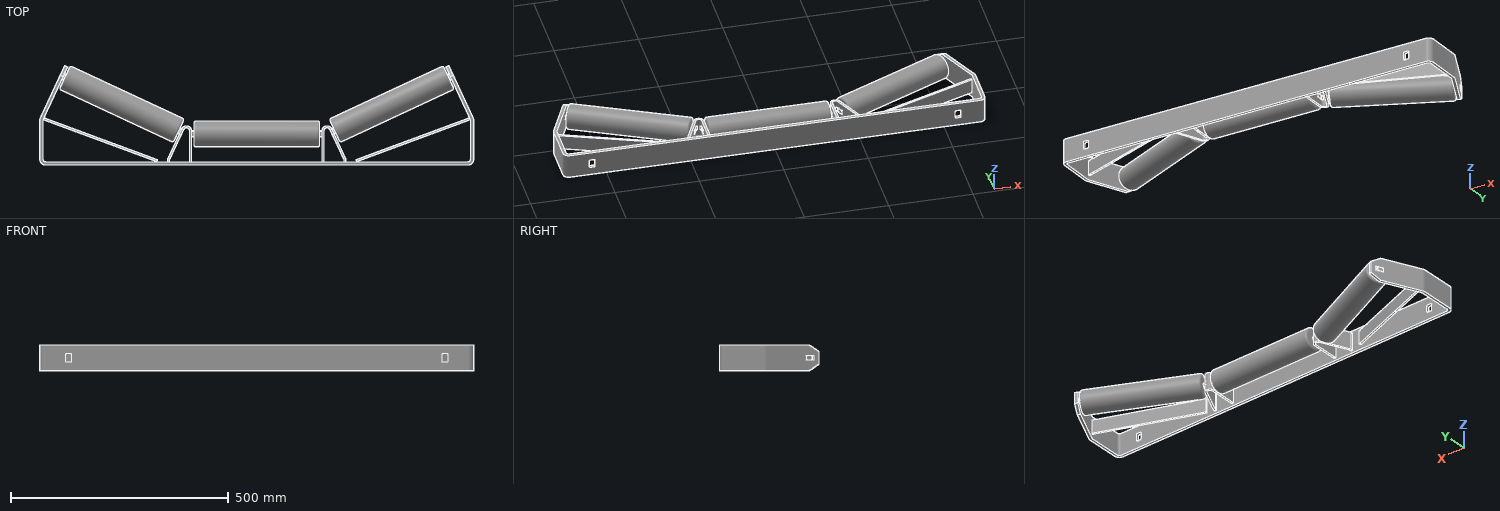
import cadquery as cq
import math


TILT = 25.0
FRAME_WIDTH = 1000.0
FRAME_DEPTH = 229.72
FRAME_HEIGHT = 60.0
FRAME_THICKNESS = 8.0
FRAME_BEND_OUTER_RADIUS = 14.0
KINK_Y = 106.5
TIP_HEIGHT = 30.0
TIP_TAPER_LENGTH = 25.0

MOUNT_SLOT_X = 433.5
MOUNT_SLOT_WIDTH = 14.0
MOUNT_SLOT_HEIGHT = 20.0
MOUNT_SLOT_CORNER_RADIUS = 3.0

BRACKET_THICKNESS = 5.0
BRACKET_HEIGHT = 46.0
BRACKET_BEND_OUTER_RADIUS = 12.0
BRACKET_SPAN = 300.0
BRACKET_FOOT_X = 205.5
BRACKET_FOOT_HEIGHT = 6.0

ROLLER_DIAMETER = 60.0
ROLLER_LENGTH = 290.0
ROLLER_EDGE_RADIUS = 5.0
CENTRE_AXIS_Y = 72.0
SIDE_AXIS_FROM_TIP = 25.0
AXLE_DIAMETER = 15.0
AXLE_FLATS = 10.0
AXLE_SLOT_LENGTH = 20.0

BRACE_THICKNESS = 5.0
BRACE_HEIGHT = 36.0
BRACE_FOOT_X = 230.0

HALF_WIDTH = FRAME_WIDTH / 2
TILT_SIN = math.sin(math.radians(TILT))
TILT_COS = math.cos(math.radians(TILT))
HALF_TILT_TAN = math.tan(math.radians(TILT / 2))
UP_ARM = (TILT_SIN, TILT_COS)
ALONG_ROLLER = (TILT_COS, -TILT_SIN)


def step(point, direction, distance):
    """Point reached by going a distance from a point along a unit direction."""
    return (point[0] + direction[0] * distance, point[1] + direction[1] * distance)


def climb_to_x(point, x):
    """Point at the given X on the line that leaves a point parallel to the arm."""
    return (x, point[1] + (x - point[0]) * TILT_COS / TILT_SIN)


OUTER_CORNER = (-HALF_WIDTH, 0)
OUTER_KINK = (-HALF_WIDTH, KINK_Y)
ARM_TIP = step(OUTER_KINK, UP_ARM, (FRAME_DEPTH - KINK_Y) / TILT_COS)
INNER_TIP = step(ARM_TIP, ALONG_ROLLER, FRAME_THICKNESS)
INNER_KINK = (-HALF_WIDTH + FRAME_THICKNESS, KINK_Y - FRAME_THICKNESS * HALF_TILT_TAN)
INNER_CORNER = (-HALF_WIDTH + FRAME_THICKNESS, FRAME_THICKNESS)

LEG_OUTER_BEND = (-BRACKET_FOOT_X, FRAME_THICKNESS + BRACKET_FOOT_HEIGHT)
LEG_INNER_BEND = (
    LEG_OUTER_BEND[0] + BRACKET_THICKNESS,
    LEG_OUTER_BEND[1] - BRACKET_THICKNESS * HALF_TILT_TAN,
)

SIDE_AXIS_AT_ARM = step(INNER_TIP, UP_ARM, -SIDE_AXIS_FROM_TIP)
SIDE_SPAN = (
    (LEG_OUTER_BEND[0] - SIDE_AXIS_AT_ARM[0]) * ALONG_ROLLER[0]
    + (LEG_OUTER_BEND[1] - SIDE_AXIS_AT_ARM[1]) * ALONG_ROLLER[1]
)
SIDE_AXIS_MIDDLE = step(SIDE_AXIS_AT_ARM, ALONG_ROLLER, SIDE_SPAN / 2)
SIDE_AXIS_AT_LEG = step(SIDE_AXIS_AT_ARM, ALONG_ROLLER, SIDE_SPAN)
CENTRE_AXIS_AT_BRACKET = (-BRACKET_SPAN / 2, CENTRE_AXIS_Y)


def place(body, point, angle):
    """Turn a body made at the origin about Z, then carry it to a point in XY."""
    return body.rotate((0, 0, 0), (0, 0, 1), angle).translate((point[0], point[1], 0))


def upright_strip(outline, height):
    """Extrude an XY outline to a strip centred on Z = 0."""
    return cq.Workplane("XY").workplane(offset=-height / 2).polyline(outline).close().extrude(height)


def round_upright_edges(body, points, radius):
    for x, y in points:
        body = body.edges(cq.NearestToPointSelector((x, y, 0))).fillet(radius)
    return body


def axle_slot_cutter(wall_thickness):
    """Slot across a wall square to X; the axle at the origin rests on its -Y end."""
    slot_centre_y = (AXLE_SLOT_LENGTH - AXLE_DIAMETER) / 2
    cutter = cq.Workplane("XY").box(3 * wall_thickness, AXLE_SLOT_LENGTH, AXLE_FLATS)
    return cutter.translate((0, slot_centre_y, 0))


def arm_tip_cutter():
    """The two corner wedges that taper an arm whose tip is at the origin."""
    wedges = cq.Workplane("XY")
    for side in (-1, 1):
        wedge = (
            cq.Workplane("YZ")
            .workplane(offset=-FRAME_THICKNESS)
            .moveTo(0, side * TIP_HEIGHT / 2)
            .lineTo(-TIP_TAPER_LENGTH, side * FRAME_HEIGHT / 2)
            .lineTo(0, side * FRAME_HEIGHT / 2)
            .close()
            .extrude(3 * FRAME_THICKNESS)
        )
        wedges = wedges.add(wedge)
    return wedges.combine()


def mount_slot_cutter():
    return (
        cq.Workplane("XZ")
        .center(-MOUNT_SLOT_X, 0)
        .rect(MOUNT_SLOT_WIDTH, MOUNT_SLOT_HEIGHT)
        .extrude(-FRAME_THICKNESS)
        .edges("|Y")
        .fillet(MOUNT_SLOT_CORNER_RADIUS)
    )


def make_frame():
    left = [OUTER_CORNER, OUTER_KINK, ARM_TIP, INNER_TIP, INNER_KINK, INNER_CORNER]
    right = [(-x, y) for x, y in reversed(left)]
    frame = upright_strip(left + right, FRAME_HEIGHT)

    outer_bends = [(side * x, y) for side in (-1, 1) for x, y in (OUTER_CORNER, OUTER_KINK)]
    inner_bends = [(side * x, y) for side in (-1, 1) for x, y in (INNER_CORNER, INNER_KINK)]
    frame = round_upright_edges(frame, outer_bends, FRAME_BEND_OUTER_RADIUS)
    frame = round_upright_edges(frame, inner_bends, FRAME_BEND_OUTER_RADIUS - FRAME_THICKNESS)

    cutters = [
        place(arm_tip_cutter(), ARM_TIP, -TILT),
        place(axle_slot_cutter(FRAME_THICKNESS), SIDE_AXIS_AT_ARM, -TILT),
        mount_slot_cutter(),
    ]
    for cutter in cutters:
        frame = frame.cut(cutter).cut(cutter.mirror("YZ"))
    return frame


def make_bracket():
    """Bracket at -X: an upright leg beside the centre roller, bent over to a leaning leg."""
    upright_outer_x = -BRACKET_SPAN / 2
    upright_inner_x = upright_outer_x - BRACKET_THICKNESS
    outer_apex = climb_to_x(LEG_OUTER_BEND, upright_outer_x)
    inner_apex = climb_to_x(LEG_INNER_BEND, upright_inner_x)
    outline = [
        (LEG_OUTER_BEND[0], FRAME_THICKNESS),
        LEG_OUTER_BEND,
        outer_apex,
        (upright_outer_x, FRAME_THICKNESS),
        (upright_inner_x, FRAME_THICKNESS),
        inner_apex,
        LEG_INNER_BEND,
        (LEG_INNER_BEND[0], FRAME_THICKNESS),
    ]
    bracket = upright_strip(outline, BRACKET_HEIGHT)
    bracket = round_upright_edges(bracket, [outer_apex], BRACKET_BEND_OUTER_RADIUS)
    bracket = round_upright_edges(bracket, [inner_apex], BRACKET_BEND_OUTER_RADIUS - BRACKET_THICKNESS)

    slot = axle_slot_cutter(BRACKET_THICKNESS)
    bracket = bracket.cut(place(slot, SIDE_AXIS_AT_LEG, -TILT))
    return bracket.cut(place(slot, CENTRE_AXIS_AT_BRACKET, 0))


def make_roller(span, left_wall, right_wall):
    """Roller along X centred in a span; its axle ends flush with the far face of each wall."""
    roller = (
        cq.Workplane("YZ")
        .workplane(offset=-ROLLER_LENGTH / 2)
        .circle(ROLLER_DIAMETER / 2)
        .extrude(ROLLER_LENGTH)
        .faces("<X or >X")
        .edges()
        .fillet(ROLLER_EDGE_RADIUS)
    )
    axle_length = span + left_wall + right_wall
    axle = (
        cq.Workplane("YZ")
        .workplane(offset=-span / 2 - left_wall)
        .circle(AXLE_DIAMETER / 2)
        .extrude(axle_length)
    )
    flats = cq.Workplane("XY").box(2 * axle_length, AXLE_DIAMETER, AXLE_FLATS)
    return roller.union(axle.intersect(flats))


def make_brace(frame):
    """Flat strip from the inner kink down to the base, trimmed to the side wall."""
    foot = (-BRACE_FOOT_X, FRAME_THICKNESS)
    length = math.dist(INNER_KINK, foot)
    slope = math.degrees(math.atan2(foot[1] - INNER_KINK[1], foot[0] - INNER_KINK[0]))
    strip = cq.Workplane("XY").box(length, BRACE_THICKNESS, BRACE_HEIGHT, centered=(False, False, True))
    return place(strip, INNER_KINK, slope).cut(frame)


frame = make_frame()
centre_roller = make_roller(BRACKET_SPAN, BRACKET_THICKNESS, BRACKET_THICKNESS)
centre_roller = centre_roller.translate((0, CENTRE_AXIS_Y, 0))

side_roller = make_roller(SIDE_SPAN, FRAME_THICKNESS, BRACKET_THICKNESS)
side_roller = place(side_roller, SIDE_AXIS_MIDDLE, -TILT)

bodies = [frame, centre_roller]
for left_body in (make_bracket(), make_brace(frame), side_roller):
    bodies.append(left_body)
    bodies.append(left_body.mirror("YZ"))

result = cq.Compound.makeCompound([body.solids().val() for body in bodies])